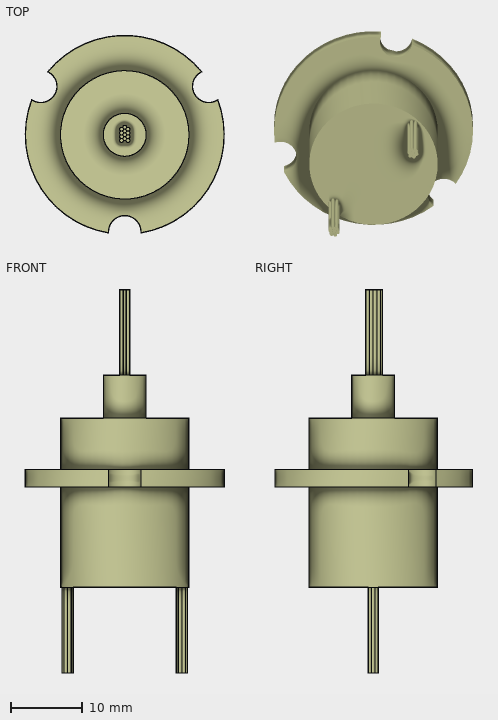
import cadquery as cq
import math

total_height = 53.7
wire_length = 12.0
boss_height = 6.0
body_height = total_height - 2 * wire_length - boss_height
body_bottom = wire_length
body_top = body_bottom + body_height
boss_top = body_top + boss_height

body_diameter = 18.0
boss_diameter = 6.0
flange_diameter = 27.85
flange_thickness = 2.45
flange_bottom = body_bottom + 14.05

notch_diameter = 4.5
notch_center_radius = 13.6
notch_angles = (30, 150, 270)

wire_diameter = 0.55
wire_pitch = 0.525
row_pitch = wire_pitch * math.sqrt(3) / 2
lower_bundle_offset = 8.0


def cylinder(diameter, bottom, height):
    """Upright cylinder on the main axis."""
    return cq.Workplane("XY").workplane(offset=bottom).circle(diameter / 2).extrude(height)


def add_wires(part, centers, bottom):
    """Fuse one straight wire onto the part at each center."""
    for x, y in centers:
        wire = cylinder(wire_diameter, bottom, wire_length)
        part = part.union(wire.translate((x, y, 0)))
    return part


def notched_flange():
    """Round flange with three notches in its rim."""
    flange = cylinder(flange_diameter, flange_bottom, flange_thickness)
    for angle in notch_angles:
        x = notch_center_radius * math.cos(math.radians(angle))
        y = notch_center_radius * math.sin(math.radians(angle))
        notch = cylinder(notch_diameter, flange_bottom, flange_thickness)
        flange = flange.cut(notch.translate((x, y, 0)))
    return flange


def upper_wire_centers():
    """Twelve wires in three close-packed columns, the outer two shifted half a pitch."""
    centers = []
    for column in (-1, 0, 1):
        top_wire_y = (2 - abs(column) / 2) * wire_pitch
        for index in range(4):
            centers.append((column * row_pitch, top_wire_y - index * wire_pitch))
    return centers


def lower_wire_centers(bundle_x):
    """Seven wires: one in the middle and six around it."""
    centers = [(bundle_x, 0)]
    for index in range(6):
        angle = math.radians(60 * index)
        centers.append((bundle_x + wire_pitch * math.cos(angle), wire_pitch * math.sin(angle)))
    return centers


result = cylinder(body_diameter, body_bottom, body_height)
result = result.union(cylinder(boss_diameter, body_top, boss_height))
result = result.union(notched_flange())

result = add_wires(result, upper_wire_centers(), boss_top)
for side in (-1, 1):
    result = add_wires(result, lower_wire_centers(side * lower_bundle_offset), 0)